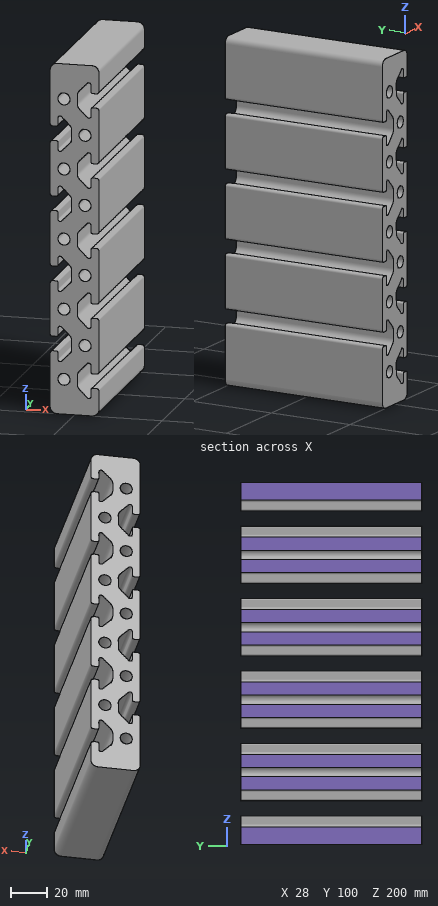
import cadquery as cq

WIDTH = 28.0
LENGTH = 100.0
HEIGHT = 200.0
CORNER_RADIUS = 4.0

SLOT_PITCH = 40.0
RIGHT_SLOT_COUNT = 5
LEFT_SLOT_COUNT = RIGHT_SLOT_COUNT - 1
SLOT_OPENING = 8.2
SLOT_DEPTH = 12.5
LIP_THICKNESS = 4.5
LIP_OUTER_RADIUS = 1.5
LIP_INNER_RADIUS = 1.0

CAVITY_WIDTH = 23.5
CAVITY_CORNER_RADIUS = 1.2
FLOOR_RADIUS = 4.0

BORE_DIAMETER = 6.8
BORE_INSET = 8.0


def slot_heights(count):
    """Heights of evenly pitched slots centred on the panel."""
    return [(i - (count - 1) / 2) * SLOT_PITCH for i in range(count)]


def make_cavity():
    """Cavity cutter for a slot that enters at X = 0 and reaches toward +X."""
    half_width = CAVITY_WIDTH / 2
    half_floor = half_width - (SLOT_DEPTH - LIP_THICKNESS)
    cavity = (
        cq.Workplane("XZ")
        .moveTo(LIP_THICKNESS, half_width)
        .lineTo(SLOT_DEPTH, half_floor)
        .lineTo(SLOT_DEPTH, -half_floor)
        .lineTo(LIP_THICKNESS, -half_width)
        .close()
        .extrude(LENGTH / 2, both=True)
    )
    cavity = cavity.edges("|Y and >X").fillet(FLOOR_RADIUS)
    return cavity.edges("|Y and <X").fillet(CAVITY_CORNER_RADIUS)


def make_slot():
    """Slot cutter that enters at X = 0 and reaches toward +X."""
    opening_depth = LIP_THICKNESS + CAVITY_CORNER_RADIUS
    opening = cq.Workplane("XY").box(opening_depth, LENGTH, SLOT_OPENING, centered=(False, True, True))
    return make_cavity().union(opening)


def lip_heights(heights):
    """Heights of the two lip ends of every slot, from bottom to top."""
    return [z + side * SLOT_OPENING / 2 for z in heights for side in (-1, 1)]


def round_lips(body, inset, radius):
    """Round the lip corners that lie the given inset behind either broad face."""
    points = [(left_face + inset, 0, z) for z in lip_heights(left_heights)]
    points += [(right_face - inset, 0, z) for z in lip_heights(right_heights)]
    edges = body.edges("|Y")
    corners = [edges.edges(cq.selectors.NearestToPointSelector(point)).val() for point in points]
    return body.newObject(corners).fillet(radius)


left_face = -WIDTH / 2
right_face = WIDTH / 2
left_heights = slot_heights(LEFT_SLOT_COUNT)
right_heights = slot_heights(RIGHT_SLOT_COUNT)

panel = cq.Workplane("XY").box(WIDTH, LENGTH, HEIGHT).edges("|Y").fillet(CORNER_RADIUS)

left_slot = make_slot().translate((left_face, 0, 0))
right_slot = left_slot.mirror("YZ")
for z in left_heights:
    panel = panel.cut(left_slot.translate((0, 0, z)))
for z in right_heights:
    panel = panel.cut(right_slot.translate((0, 0, z)))

panel = round_lips(panel, 0, LIP_OUTER_RADIUS)
panel = round_lips(panel, LIP_THICKNESS, LIP_INNER_RADIUS)

bore_points = [(right_face - BORE_INSET, z) for z in left_heights]
bore_points += [(left_face + BORE_INSET, z) for z in right_heights]
bores = cq.Workplane("XZ").pushPoints(bore_points).circle(BORE_DIAMETER / 2).extrude(LENGTH / 2, both=True)

result = panel.cut(bores)